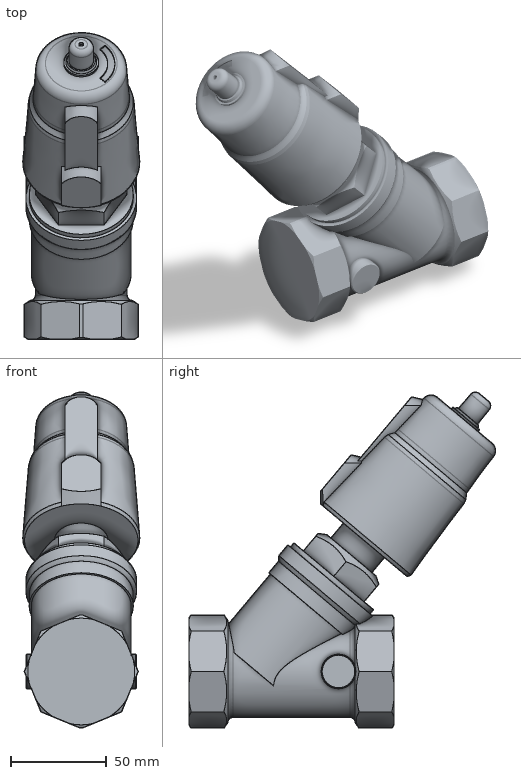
import cadquery as cq
import math


body_length = 107.2
pipe_radius = 24.0
nut_length = 20.4
nut_corner_radius = 29.8
nut_corners = 8
nut_crown = 29.5
nut_face_radius = 27.9
nut_chamfer_depth = 1.2
nut_shoulder_radius = 26.7
nut_shoulder_depth = 2.1
nut_fillet = nut_shoulder_radius - pipe_radius
boss_radius = 18.0 / 2
boss_reach = 29.0
boss_offset = 24.5
boss_chamfer = 0.5

tilt = 40.0
axis_offset = -19.7

neck_radius = 26.2
neck_bottom = 0.9
seat_radius = 54.5 / 2
seat_bottom = 44.5
seat_top = 52.5
ring_radius = 29.0
ring_bottom = 54.8
ring_top = 62.1
hex_bottom = 65.0
hex_top = 79.3
hex_sides = 6
hex_flats = 41.5
hex_top_radius = 16.9
hex_bevel_slope = 0.62
rod_radius = 28.0 / 2

housing_bottom = 89.5
housing_bottom_radius = 29.7
rim_height = 91.5
rim_radius = 61.3 / 2
shoulder_bottom = 137.8
shoulder_bottom_radius = 27.7
shoulder_edge = 140.0
shoulder_edge_radius = 54.5 / 2
shoulder_top = 143.0
shoulder_top_radius = 25.3
band_height = 145.5
band_radius = 25.1
cap_height = 171.5
cap_radius = 23.5
cap_fillet = 5.1

collar_radius = 18.3 / 2
collar_rim_height = 172.7
collar_step_radius = 8.0
collar_top_radius = 7.4
collar_top = 174.1
stem_base_radius = 13.2 / 2
stem_tip_radius = 6.3
stem_top = 187.1
stem_fillet = 3.2
tip_hole_diameter = 2.5
tip_hole_depth = 1.8
recess_inner_radius = 13.9
recess_outer_radius = 17.5
recess_half_angle = 45.0
recess_depth = 0.7

arm_root = 17.5
corner_slope = math.tan(math.radians(tilt))
apex_slope = 0.5
upper_arm_face = 29.1
upper_arm_width = 17.0
upper_arm_apex = 163.0
upper_arm_corner = 157.3
upper_arm_bottom = 105.3
lower_arm_face = 33.9
lower_arm_width = 20.5
lower_arm_apex = 119.5
lower_arm_corner = 114.0
lower_arm_bevel_slope = 0.85


def revolved(profile):
    """Revolve a closed (radius, height) profile about the upright Z axis."""
    return cq.Workplane("XZ").polyline(profile).close().revolve(360, (0, 0, 0), (0, 1, 0))


def make_nut(length):
    """Octagonal pipe end with its inner face at height 0 and its outer face at the top."""
    octagon = cq.Workplane("XY").polygon(nut_corners, 2 * nut_corner_radius).extrude(length)
    crowned = octagon.intersect(cq.Workplane("XY").box(4 * nut_corner_radius, 2 * nut_crown, 4 * length))
    turned = revolved([
        (0, 0),
        (nut_shoulder_radius, 0),
        (nut_corner_radius, nut_shoulder_depth),
        (nut_corner_radius, length - nut_chamfer_depth),
        (nut_face_radius, length),
        (0, length),
    ])
    blend = (
        cq.Workplane("XZ")
        .lineTo(nut_shoulder_radius, 0)
        .radiusArc((pipe_radius, -nut_fillet), -nut_fillet)
        .lineTo(0, -nut_fillet)
        .close()
        .revolve(360, (0, 0, 0), (0, 1, 0))
    )
    return crowned.intersect(turned).union(blend)


def make_pipe_body():
    inner_face = body_length / 2 - nut_length
    body = cq.Workplane("XZ").circle(pipe_radius).extrude(inner_face + nut_length / 2, both=True)
    nut = make_nut(nut_length).translate((0, 0, inner_face))
    for turn in (-90, 90):
        body = body.union(nut.rotate((0, 0, 0), (1, 0, 0), turn))
    bosses = (
        cq.Workplane("YZ")
        .center(boss_offset, 0)
        .circle(boss_radius)
        .extrude(boss_reach, both=True)
        .faces("<X or >X")
        .chamfer(boss_chamfer)
    )
    return body.union(bosses)


def make_bonnet():
    neck = revolved([
        (0, neck_bottom),
        (neck_radius, neck_bottom),
        (neck_radius, seat_bottom),
        (seat_radius, seat_bottom),
        (seat_radius, seat_top),
        (ring_radius, ring_bottom),
        (ring_radius, ring_top),
        (seat_radius, ring_top),
        (seat_radius, hex_bottom),
        (0, hex_bottom),
    ])
    hex_corner = hex_flats / math.sqrt(3)
    hex_height = hex_top - hex_bottom
    hex_base = cq.Workplane("XY").workplane(offset=hex_bottom)
    hexagon = hex_base.polygon(hex_sides, 2 * hex_corner).extrude(hex_height)
    bevel_bottom = hex_top - (hex_corner - hex_top_radius) * hex_bevel_slope
    bevel = revolved([
        (0, hex_bottom),
        (hex_corner, hex_bottom),
        (hex_corner, bevel_bottom),
        (hex_top_radius, hex_top),
        (0, hex_top),
    ])
    rod_length = housing_bottom - hex_bottom
    rod = hex_base.circle(rod_radius).extrude(rod_length)
    return neck.union(hexagon.intersect(bevel)).union(rod)


def make_housing():
    housing = revolved([
        (0, housing_bottom),
        (housing_bottom_radius, housing_bottom),
        (rim_radius, rim_height),
        (shoulder_bottom_radius, shoulder_bottom),
        (shoulder_edge_radius, shoulder_edge),
        (shoulder_top_radius, shoulder_top),
        (band_radius, band_height),
        (cap_radius, cap_height),
        (0, cap_height),
    ])
    return housing.faces(">Z").edges().fillet(cap_fillet)


def make_indicator():
    collar = revolved([
        (0, cap_height),
        (collar_radius, cap_height),
        (collar_radius, collar_rim_height),
        (collar_step_radius, collar_rim_height),
        (collar_top_radius, collar_top),
        (0, collar_top),
    ])
    stem = revolved([
        (0, cap_height),
        (stem_base_radius, cap_height),
        (stem_tip_radius, stem_top),
        (0, stem_top),
    ])
    stem = stem.faces(">Z").edges().fillet(stem_fillet)
    return collar.union(stem.faces(">Z").workplane().hole(tip_hole_diameter, tip_hole_depth))


def make_arc_recess():
    """Shallow curved pocket in the cap, centred on +X."""
    recess_middle = (recess_inner_radius + recess_outer_radius) / 2
    return (
        cq.Workplane("XZ")
        .center(recess_middle, cap_height)
        .rect(recess_outer_radius - recess_inner_radius, 2 * recess_depth)
        .revolve(2 * recess_half_angle, (-recess_middle, 0), (-recess_middle, 1))
        .rotate((0, 0, 0), (0, 0, 1), -recess_half_angle)
    )


def make_arm(face, width, apex, corner, bottom):
    """Round-topped arm facing -Y, whose rounded top rises from the face towards the housing."""
    depth = face - arm_root

    def arch(workplane, rise_apex, rise_corner):
        return (
            workplane.moveTo(-width / 2, bottom)
            .lineTo(width / 2, bottom)
            .lineTo(width / 2, corner + rise_corner)
            .threePointArc((0, apex + rise_apex), (-width / 2, corner + rise_corner))
            .close()
        )

    root = arch(cq.Workplane("XZ", origin=(0, -arm_root, 0)), depth * apex_slope, depth * corner_slope)
    return arch(root.workplane(offset=depth), 0, 0).loft(ruled=True, combine=True)


def make_arms():
    upper = make_arm(upper_arm_face, upper_arm_width, upper_arm_apex, upper_arm_corner, upper_arm_bottom)
    lower = make_arm(lower_arm_face, lower_arm_width, lower_arm_apex, lower_arm_corner, housing_bottom)
    cone_height = cap_height - housing_bottom
    cone = revolved([
        (0, housing_bottom),
        (housing_bottom_radius, housing_bottom),
        (housing_bottom_radius + cone_height * lower_arm_bevel_slope, cap_height),
        (0, cap_height),
    ])
    return upper.union(lower.intersect(cone))


actuator = make_housing().union(make_arms()).union(make_indicator()).cut(make_arc_recess())
tilted_parts = (
    make_bonnet()
    .union(actuator)
    .rotate((0, 0, 0), (1, 0, 0), -tilt)
    .translate((0, axis_offset, 0))
)
result = make_pipe_body().union(tilted_parts)